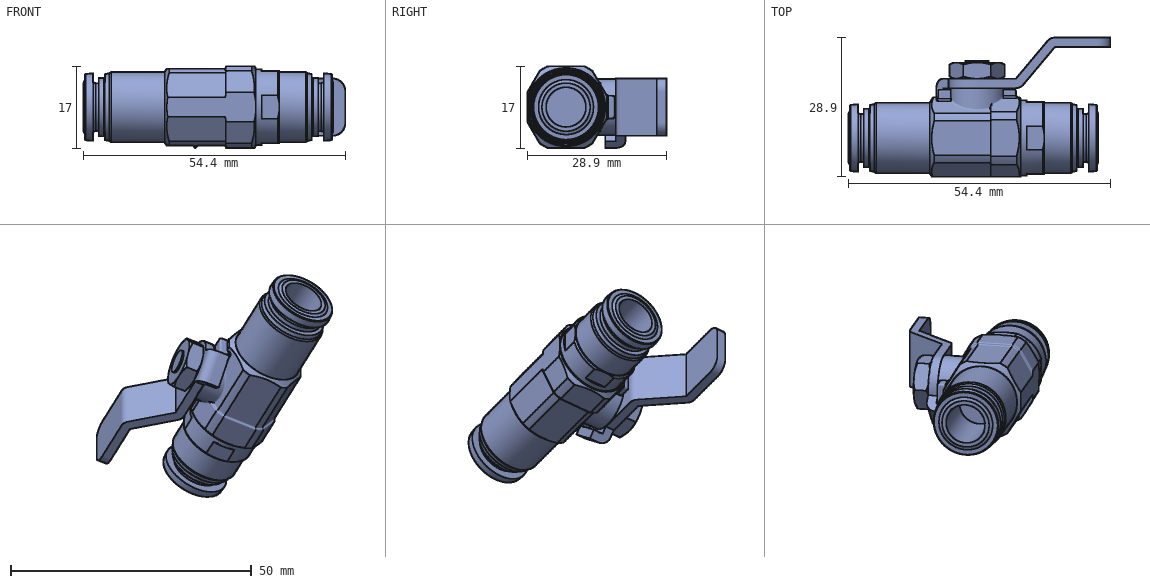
import cadquery as cq
import math


slope_tilt = math.radians(30)

pipe_length = 51.85
pipe_left = -26.7
pipe_right = pipe_left + pipe_length
barrel_radius = 7.35
bore_radius = 4.15
bore_depth = 13.6

mouth_radius = 5.0
lip_inset = 0.25
lip_radius = 5.7
collar_radius = 7.0
collar_edge = 0.15
collar_shoulder = 1.6
collar_front_radius = 6.9
collar_end = 2.0
neck_radius = 5.0
neck_root_radius = 5.15
neck_taper_end = 2.5
ring_start = 3.15
ring_end = 4.2
ring_radius = 6.1
ring_groove_end = 4.45
cone_start_radius = 6.85
cone_end = 5.4
cone_end_radius = 7.05
barrel_start = 5.75

body_left = -9.85
body_step = 2.85
body_right = 9.0
small_across_flats = 16.0
small_apothem = small_across_flats / 2
small_corner_radius = 8.75
large_across_flats = 17.0
large_apothem = large_across_flats / 2
large_corner_radius = 9.3
body_cut_front = 8.05
body_cut_back = 8.5
left_face_radius = 7.4
left_bevel_length = 0.9
right_face_radius = 8.15
right_bevel_length = 0.8
step_fillet = 0.245

wrench_collar_radius = 7.9
wrench_flat_distance = 7.5
wrench_flat_start = 10.3
wrench_flat_end = 13.6
wrench_collar_end = 14.0

boss_radius = 5.85
boss_fillet = 0.3
blend_overlap = 0.05
blend_reach = boss_radius + boss_fillet
stop_inner = 5.45
stop_outer = 8.1
stop_half_width = 2.4
stop_top = 10.05
stop_edge_fillet = 0.5
stop_top_fillet = 0.45
stop_flare = 0.3
lever_thickness = 2.0
lever_bottom = 10.35
lever_top = lever_bottom + lever_thickness
lever_half_width = 6.0
lever_bend = 8.05
lever_angle = math.radians(50)
grip_bottom = 18.85
lever_end = 27.7
grip_corner_radius = 2.7
tab_width = 7.05
tab_reach = 8.5
tab_bottom = 8.1
tab_angle = 45.0
nut_across_flats = 9.95
nut_top = 15.65
nut_face_radius = 5.0
nut_bevel = 0.45
stem_radius = 2.45
stem_top = 16.05


def y_cylinder(radius, bottom, top):
    """Cylinder on the stem axis between two heights."""
    return cq.Workplane("XZ", origin=(0, bottom, 0)).circle(radius).extrude(bottom - top)


def x_cylinder(radius, left, right):
    """Cylinder on the pipe axis between two stations."""
    return cq.Workplane("YZ", origin=(left, 0, 0)).circle(radius).extrude(right - left)


def push_in_end():
    """Left half of the pipe run, turned about the pipe axis."""
    profile = [
        (0, 0),
        (0, mouth_radius),
        (lip_inset, lip_radius),
        (lip_inset, collar_front_radius - collar_edge),
        (lip_inset + collar_edge, collar_front_radius),
        (collar_shoulder, collar_radius),
        (collar_end, collar_radius),
        (collar_end, neck_root_radius),
        (neck_taper_end, neck_radius),
        (ring_start, neck_radius),
        (ring_start, ring_radius),
        (ring_end, ring_radius),
        (ring_groove_end, neck_radius),
        (ring_groove_end, cone_start_radius),
        (cone_end, cone_end_radius),
        (barrel_start, barrel_radius),
        (pipe_length / 2, barrel_radius),
        (pipe_length / 2, 0),
    ]
    half = cq.Workplane("XY").polyline(profile).close().revolve(360, (0, 0, 0), (1, 0, 0))
    return half.translate((pipe_left, 0, 0))


def hexagon_bar(apothem, corner_radius, left, right):
    """Hexagonal bar along X with flats on +Z and -Z and its corners turned down."""
    bar = (
        cq.Workplane("YZ", origin=(left, 0, 0))
        .polygon(6, 2 * apothem / math.cos(slope_tilt))
        .extrude(right - left)
    )
    return bar.intersect(x_cylinder(corner_radius, left, right))


def body_envelope():
    """Turned shape that bevels both ends of the hexagonal body."""
    outline = [
        (body_left, 0),
        (body_left, left_face_radius),
        (body_left + left_bevel_length, small_corner_radius),
        (body_step - step_fillet, large_corner_radius),
        (body_right - right_bevel_length, large_corner_radius),
        (body_right, right_face_radius),
        (body_right, 0),
    ]
    return cq.Workplane("XY").polyline(outline).close().revolve(360, (0, 0, 0), (1, 0, 0))


def hexagon_body():
    """Small and large hexagons with flat-cut corners on the Y axis and bevelled ends."""
    body = hexagon_bar(small_apothem, small_corner_radius, body_left, body_right)
    body = body.union(hexagon_bar(large_apothem, large_corner_radius, body_step, body_right))
    at_step = cq.selectors.BoxSelector(
        (body_step - step_fillet, -pipe_length, -pipe_length),
        (body_step + step_fillet, pipe_length, pipe_length),
    )
    body = body.edges(at_step).fillet(step_fillet)
    depth = body_cut_front + body_cut_back
    slab = cq.Workplane("XY").box(pipe_length, depth, large_across_flats)
    slab = slab.translate((0, (body_cut_back - body_cut_front) / 2, 0))
    return body.intersect(slab).intersect(body_envelope())


def boss_blend(apothem, left, right):
    """Fillet between the boss and the hexagon face sloping towards +Z, between two stations."""
    slab_size = 6 * boss_radius
    slab_depth = boss_radius / 4
    slab = cq.Workplane("XY").box(slab_size, slab_depth, slab_size)
    slab = slab.translate((0, apothem - slab_depth / 2, 0))
    slab = slab.rotate((0, 0, 0), (1, 0, 0), math.degrees(slope_tilt))
    blend = slab.union(y_cylinder(boss_radius, 0, lever_bottom + boss_radius))
    foot = blend.edges("%ELLIPSE").edges(">Y")
    blend = foot.fillet(boss_fillet)
    inner = stop_half_width - blend_overlap
    window = cq.Workplane("XY").box(right - left, lever_bottom, blend_reach - inner, centered=False)
    return blend.intersect(window.translate((left, 0, inner)))


def wrench_collar():
    """Round collar with four flats set square to Y and Z."""
    collar = x_cylinder(wrench_collar_radius, body_right, wrench_collar_end)
    collar = collar.faces(">X").chamfer(wrench_collar_end - wrench_flat_end)
    flat_length = wrench_collar_end - wrench_flat_start
    side = 2 * wrench_flat_distance
    outside = cq.Workplane("YZ", origin=(wrench_flat_start, 0, 0)).rect(2 * side, 2 * side)
    outside = outside.rect(side, side).extrude(flat_length)
    return collar.cut(outside)


def stop(apothem):
    """Stop block on the right of the boss, flared where it meets a hexagon of the given size."""
    block = cq.Workplane("XY").box(
        stop_outer - stop_inner, stop_top, 2 * stop_half_width, centered=(False, False, True)
    )
    block = block.edges(">X and |Y").fillet(stop_edge_fillet)
    block = block.faces(">Y").edges("not <X").fillet(stop_top_fillet)
    block = block.translate((stop_inner, 0, 0))

    wall_foot = (apothem - stop_half_width * math.sin(slope_tilt)) / math.cos(slope_tilt)
    flare_foot = wall_foot - stop_flare * math.tan(slope_tilt)
    wide = stop_half_width + stop_flare
    across = [
        (-wide, 0),
        (-wide, flare_foot),
        (-stop_half_width, wall_foot + stop_flare),
        (stop_half_width, wall_foot + stop_flare),
        (wide, flare_foot),
        (wide, 0),
    ]
    along = [
        (stop_inner, 0),
        (stop_inner, stop_top),
        (stop_outer, body_cut_back + stop_flare),
        (stop_outer + stop_flare, body_cut_back),
        (stop_outer + stop_flare, 0),
    ]
    flare = cq.Workplane("XY", origin=(0, 0, -wide)).polyline(along).close().extrude(2 * wide)
    section = cq.Workplane("ZY").polyline(across).close().extrude(-2 * stop_outer)
    flare = flare.intersect(section).edges(">X and |Y").fillet(stop_edge_fillet)
    return block.union(flare)


def lever():
    """Cranked flat handle with a round eye."""
    rise = grip_bottom - lever_top
    sin_a = math.sin(lever_angle)
    cos_a = math.cos(lever_angle)
    upper_bend = lever_bend + (lever_thickness + rise * cos_a) / sin_a

    def bend_arc(center, side, angle):
        """Point on the outer arc of a bend, swung from the flat by an angle; side is 1 or -1."""
        return (
            center[0] + side * lever_thickness * math.sin(angle),
            center[1] - side * lever_thickness * math.cos(angle),
        )

    lower = (lever_bend, lever_top)
    upper = (upper_bend, grip_bottom)
    arm = (
        cq.Workplane("XY", origin=(0, 0, -lever_half_width))
        .moveTo(0, lever_bottom)
        .lineTo(lever_bend, lever_bottom)
        .threePointArc(bend_arc(lower, 1, lever_angle / 2), bend_arc(lower, 1, lever_angle))
        .lineTo(*upper)
        .lineTo(lever_end, grip_bottom)
        .lineTo(lever_end, grip_bottom + lever_thickness)
        .lineTo(upper_bend, grip_bottom + lever_thickness)
        .threePointArc(bend_arc(upper, -1, lever_angle / 2), bend_arc(upper, -1, lever_angle))
        .lineTo(*lower)
        .lineTo(0, lever_top)
        .close()
        .extrude(2 * lever_half_width)
    )
    arm = arm.edges("|Y and >X").fillet(grip_corner_radius)
    return arm.union(y_cylinder(lever_half_width, lever_bottom, lever_top))


def stop_tab():
    """Tab of the lever, folded down towards the body and pointing along -X and -Z."""
    inner = tab_reach - lever_thickness
    tab = (
        cq.Workplane("XY", origin=(0, 0, -tab_width / 2))
        .moveTo(0, lever_top)
        .lineTo(-inner, lever_top)
        .radiusArc((-tab_reach, lever_bottom), -lever_thickness)
        .lineTo(-tab_reach, tab_bottom)
        .lineTo(-inner, tab_bottom)
        .lineTo(-inner, lever_bottom)
        .lineTo(0, lever_bottom)
        .close()
        .extrude(tab_width)
    )
    return tab.rotate((0, 0, 0), (0, 1, 0), -tab_angle)


def nut():
    """Hexagon nut with corners on +X and -X, bevelled on both faces."""
    across_corners = nut_across_flats / math.cos(slope_tilt)
    hexagon = cq.Workplane("XZ", origin=(0, lever_top, 0)).polygon(6, across_corners)
    hexagon = hexagon.extrude(lever_top - nut_top)
    outline = [
        (0, lever_top),
        (nut_face_radius, lever_top),
        (across_corners / 2, lever_top + nut_bevel),
        (across_corners / 2, nut_top - nut_bevel),
        (nut_face_radius, nut_top),
        (0, nut_top),
    ]
    bevels = cq.Workplane("XY").polyline(outline).close().revolve(360, (0, 0, 0), (0, 1, 0))
    return hexagon.intersect(bevels)


left_end = push_in_end()
pipe_middle = (pipe_left + pipe_right) / 2
right_end = left_end.mirror("YZ", (pipe_middle, 0, 0))
valve = hexagon_body()
valve = valve.union(y_cylinder(boss_radius, 0, lever_bottom))
small_blend = boss_blend(small_apothem, -blend_reach, body_step + step_fillet)
large_blend = boss_blend(large_apothem, body_step + step_fillet, blend_reach)
for blend in (small_blend, large_blend):
    valve = valve.union(blend).union(blend.mirror("XY"))
valve = valve.union(stop(large_apothem)).union(stop(small_apothem).mirror("YZ"))
valve = valve.union(left_end).union(right_end).union(wrench_collar())

valve = valve.cut(x_cylinder(bore_radius, pipe_left, pipe_left + bore_depth))
valve = valve.cut(x_cylinder(bore_radius, pipe_right - bore_depth, pipe_right))

result = valve.union(lever()).union(stop_tab()).union(nut())
result = result.union(y_cylinder(stem_radius, lever_top, stem_top))